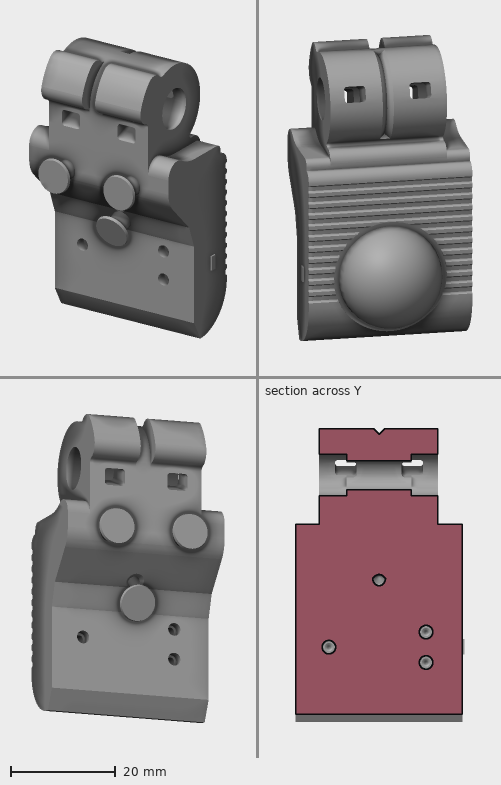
import cadquery as cq
import math


PLATE_WIDTH = 31.9
FRONT_Y = -19.65
LOWER_FRONT_Y = -10.8
TIP_Y = -8.6
TIP_BEVEL_TOP_Z = 3.95
SCREW_FACE_BOTTOM = (LOWER_FRONT_Y, 19.8)
SCREW_FACE_TOP = (-12.5, 24.3)
SLOPE_ANGLE = 45.0
BELLY_RADIUS = 5.2
BUMP_RADIUS = 3.0
BUMP_CENTRE_Z = 36.5
SHOULDER_Z = 37.85
SHOULDER_FRONT_Y = -10.65
REAR_Y = -1.65
REAR_CORNER_RADIUS = 1.35
CREST_Y = 0.5
CREST_TOP_Z = 33.7
CREST_BOTTOM_Z = 9.7
HEEL_MID = (-1.9, 3.05)

GROOVE_COUNT = 11
GROOVE_PITCH = 2.2
TOP_GROOVE_Z = 32.7
GROOVE_MOUTH = 1.45
GROOVE_FLOOR = 0.8

DOME_DIAMETER = 20.0
SEAT_DIAMETER = 22.0
DOME_Z = 14.25
SEAT_PAD_DEPTH = 4.5

HINGE_LEFT_X = -11.45
HINGE_RIGHT_X = 11.25
BARREL_RADIUS = (REAR_Y - FRONT_Y) / 2
BARREL_CENTRE = ((FRONT_Y + REAR_Y) / 2, 47.15)
HINGE_ROOT_Z = 33.8
LEDGE_Z = 39.2
LEDGE_CORNER_RADIUS = 2.25
NOOK_RADIUS = 0.45
LOBE_RADIUS = 12.05
LOBE_TOP_RADIUS = 2.6
LOBE_TOP_ANGLE = 135.9
LOBE_BOTTOM_ANGLE = 163.5
LOBE_BOTTOM_RADIUS = 2.65
LOBE_ROOT_RADIUS = 0.85
VALLEY_RADIUS = 1.1
LOBE_SLOT_LEFT_X = -2.1
LOBE_SLOT_RIGHT_X = 0.9

BORE_DIAMETER = 6.0
COUNTERBORE_DIAMETER = 8.2
LEDGE_HALF_SPAN = 6.2

VEE_HALF_WIDTH = 1.05
VEE_SWEEP = 140.0
CHANNEL_WIDTH = 4.1
CHANNEL_HEIGHT = 3.1
CHANNEL_X = 6.35
CHANNEL_MOUTH_Z = 44.0
CHANNEL_RISE = 20.0
CHANNEL_CORNER_RADIUS = 0.6

SHANK_DIAMETER = 4.0
HEAD_DIAMETER = 7.1
HEAD_CONE_LENGTH = 1.35
HEAD_RIM_LENGTH = 0.55
FACE_DIAMETER = 6.75
UPPER_SHANK_LENGTH = 2.65
LOWER_SHANK_LENGTH = 2.05
UPPER_SCREW_X = 7.45
UPPER_SCREW_Z = 33.5

SMALL_HOLES = [(8.95, 17.2), (8.95, 11.4), (-9.6, 14.3)]
SMALL_COUNTERBORE = (2.5, 2.25)
SMALL_BORE = (1.6, 4.5)
SLOPE_HOLE_Z = 25.0
SLOPE_HOLE_LIFT = -33.0
SLOPE_SINK_DEPTH = 0.5
SLOPE_SINK_REACH = 0.85
SLOPE_BORE = (2.35, 4.5)
DRILL_TIP_ANGLE = 118.0

MARK_HEIGHT = 0.35
MARK_SIZE = (1.3, 2.95)
MARK_CENTRE = (-4.5, 14.35)

OVERCUT = 5.65


def polar(centre, radius, degrees):
    """Point at an angle on a circle in the YZ plane."""
    angle = math.radians(degrees)
    return (centre[0] + radius * math.cos(angle), centre[1] + radius * math.sin(angle))


def toward(centre, target, radius):
    """Point on a circle in the direction of a target point."""
    angle = math.atan2(target[1] - centre[1], target[0] - centre[0])
    return polar(centre, radius, math.degrees(angle))


def arc_middle(centre, start, end):
    """Middle of the shorter arc from start to end about a centre."""
    chord_middle = ((start[0] + end[0]) / 2, (start[1] + end[1]) / 2)
    return toward(centre, chord_middle, math.dist(centre, start))


def circle_crossing(centre_a, radius_a, centre_b, radius_b):
    """Crossing of two circles that lies to the left of the direction from a to b."""
    gap = math.dist(centre_a, centre_b)
    along = (gap**2 + radius_a**2 - radius_b**2) / (2 * gap)
    across = math.sqrt(radius_a**2 - along**2)
    uy = (centre_b[0] - centre_a[0]) / gap
    uz = (centre_b[1] - centre_a[1]) / gap
    return (centre_a[0] + along * uy - across * uz, centre_a[1] + along * uz + across * uy)


def extrude_yz(outline, left_x, right_x):
    """Extrude an outline drawn in (y, z) between two X positions."""
    return outline.close().extrude(right_x - left_x).translate((left_x, 0, 0))


def make_plate():
    corner_z = SCREW_FACE_TOP[1] + (SCREW_FACE_TOP[0] - FRONT_Y) * math.tan(math.radians(SLOPE_ANGLE))
    belly_setback = BELLY_RADIUS * math.tan(math.radians(SLOPE_ANGLE / 2))
    belly_centre = (FRONT_Y + BELLY_RADIUS, corner_z + belly_setback)
    belly_start = polar(belly_centre, BELLY_RADIUS, 180 + SLOPE_ANGLE)
    belly_end = (FRONT_Y, belly_centre[1])

    bump_centre = (FRONT_Y + BUMP_RADIUS, BUMP_CENTRE_Z)
    bump_start = (FRONT_Y, BUMP_CENTRE_Z)
    run = SHOULDER_FRONT_Y - bump_centre[0]
    rise = SHOULDER_Z - BUMP_CENTRE_Z
    flow_radius = (run**2 + rise**2 - BUMP_RADIUS**2) / (2 * (BUMP_RADIUS - rise))
    flow_centre = (SHOULDER_FRONT_Y, SHOULDER_Z + flow_radius)
    bump_end = toward(bump_centre, flow_centre, BUMP_RADIUS)
    flow_end = (SHOULDER_FRONT_Y, SHOULDER_Z)

    corner_centre = (REAR_Y - REAR_CORNER_RADIUS, SHOULDER_Z - REAR_CORNER_RADIUS)
    step_radius = CREST_Y - REAR_Y
    step_centre = (REAR_Y, CREST_TOP_Z)

    outline = (
        cq.Workplane("YZ")
        .moveTo(TIP_Y, 0)
        .lineTo(LOWER_FRONT_Y, TIP_BEVEL_TOP_Z)
        .lineTo(*SCREW_FACE_BOTTOM)
        .lineTo(*SCREW_FACE_TOP)
        .lineTo(*belly_start)
        .threePointArc(polar(belly_centre, BELLY_RADIUS, 180 + SLOPE_ANGLE / 2), belly_end)
        .lineTo(*bump_start)
        .threePointArc(arc_middle(bump_centre, bump_start, bump_end), bump_end)
        .threePointArc(arc_middle(flow_centre, bump_end, flow_end), flow_end)
        .lineTo(corner_centre[0], SHOULDER_Z)
        .threePointArc(polar(corner_centre, REAR_CORNER_RADIUS, 45), (REAR_Y, corner_centre[1]))
        .lineTo(REAR_Y, CREST_TOP_Z + step_radius)
        .threePointArc(polar(step_centre, step_radius, 45), (CREST_Y, CREST_TOP_Z))
        .lineTo(CREST_Y, CREST_BOTTOM_Z)
        .threePointArc(HEEL_MID, (TIP_Y, 0))
    )
    return extrude_yz(outline, -PLATE_WIDTH / 2, PLATE_WIDTH / 2)


def cut_grip_grooves(body):
    for index in range(GROOVE_COUNT):
        z = TOP_GROOVE_Z - index * GROOVE_PITCH
        outline = cq.Workplane("YZ").polyline([
            (CREST_Y, z + GROOVE_MOUTH / 2),
            (0, z + GROOVE_FLOOR / 2),
            (0, z - GROOVE_FLOOR / 2),
            (CREST_Y, z - GROOVE_MOUTH / 2),
        ])
        body = body.cut(extrude_yz(outline, -PLATE_WIDTH / 2, PLATE_WIDTH / 2))
    return body


def disc_on_seat(diameter, length):
    """Disc about the dome axis, reaching from Y = 0 toward +Y, or toward -Y if length is negative."""
    return cq.Workplane("XZ").center(0, DOME_Z).circle(diameter / 2).extrude(-length)


def make_dome_seat(body):
    """Clear the teeth inside the seat and fill up to its flat face below."""
    cleared = body.cut(disc_on_seat(SEAT_DIAMETER, OVERCUT))
    return cleared.union(disc_on_seat(SEAT_DIAMETER, -SEAT_PAD_DEPTH))


def make_hinge_block():
    """Barrel standing on a block that is sunk into the plate."""
    nook_z = LEDGE_Z + NOOK_RADIUS
    nook_reach = BARREL_RADIUS + NOOK_RADIUS
    nook_y = BARREL_CENTRE[0] + math.sqrt(nook_reach**2 - (BARREL_CENTRE[1] - nook_z) ** 2)
    nook_centre = (nook_y, nook_z)
    barrel_end = toward(BARREL_CENTRE, nook_centre, BARREL_RADIUS)
    nook_end = (nook_y, LEDGE_Z)
    corner_centre = (REAR_Y - LEDGE_CORNER_RADIUS, LEDGE_Z - LEDGE_CORNER_RADIUS)
    outline = (
        cq.Workplane("YZ")
        .moveTo(FRONT_Y, HINGE_ROOT_Z)
        .lineTo(FRONT_Y, BARREL_CENTRE[1])
        .threePointArc(polar(BARREL_CENTRE, BARREL_RADIUS, 45), barrel_end)
        .threePointArc(arc_middle(nook_centre, barrel_end, nook_end), nook_end)
        .lineTo(corner_centre[0], LEDGE_Z)
        .threePointArc(polar(corner_centre, LEDGE_CORNER_RADIUS, 45), (REAR_Y, corner_centre[1]))
        .lineTo(REAR_Y, HINGE_ROOT_Z)
    )
    return extrude_yz(outline, HINGE_LEFT_X, HINGE_RIGHT_X)


def make_lobe(left_x, right_x):
    """Stop lobe on the front of the barrel, blended into it by concave arcs."""
    top_centre = polar(BARREL_CENTRE, LOBE_RADIUS - LOBE_TOP_RADIUS, LOBE_TOP_ANGLE)
    top_end = polar(BARREL_CENTRE, LOBE_RADIUS, LOBE_TOP_ANGLE)
    valley_centre = circle_crossing(
        top_centre, LOBE_TOP_RADIUS + VALLEY_RADIUS, BARREL_CENTRE, BARREL_RADIUS + VALLEY_RADIUS
    )
    valley_start = toward(BARREL_CENTRE, valley_centre, BARREL_RADIUS)
    top_start = toward(top_centre, valley_centre, LOBE_TOP_RADIUS)

    bottom_centre = polar(BARREL_CENTRE, LOBE_RADIUS - LOBE_BOTTOM_RADIUS, LOBE_BOTTOM_ANGLE)
    bottom_start = polar(BARREL_CENTRE, LOBE_RADIUS, LOBE_BOTTOM_ANGLE)
    root_y = FRONT_Y - LOBE_ROOT_RADIUS
    root_reach = LOBE_BOTTOM_RADIUS + LOBE_ROOT_RADIUS
    root_z = bottom_centre[1] - math.sqrt(root_reach**2 - (bottom_centre[0] - root_y) ** 2)
    root_centre = (root_y, root_z)
    bottom_end = toward(bottom_centre, root_centre, LOBE_BOTTOM_RADIUS)
    root_end = (FRONT_Y, root_z)

    outline = (
        cq.Workplane("YZ")
        .moveTo(*BARREL_CENTRE)
        .lineTo(*valley_start)
        .threePointArc(arc_middle(valley_centre, valley_start, top_start), top_start)
        .threePointArc(arc_middle(top_centre, top_start, top_end), top_end)
        .threePointArc(arc_middle(BARREL_CENTRE, top_end, bottom_start), bottom_start)
        .threePointArc(arc_middle(bottom_centre, bottom_start, bottom_end), bottom_end)
        .threePointArc(arc_middle(root_centre, bottom_end, root_end), root_end)
    )
    return extrude_yz(outline, left_x, right_x)


def barrel_cylinder(diameter, left_x, right_x):
    circle = cq.Workplane("YZ").center(*BARREL_CENTRE).circle(diameter / 2)
    return circle.extrude(right_x - left_x).translate((left_x, 0, 0))


def cut_hinge_bore(body):
    """Bore with a wide counterbore at each end."""
    body = body.cut(barrel_cylinder(BORE_DIAMETER, HINGE_LEFT_X, HINGE_RIGHT_X))
    body = body.cut(barrel_cylinder(COUNTERBORE_DIAMETER, HINGE_LEFT_X, -LEDGE_HALF_SPAN))
    return body.cut(barrel_cylinder(COUNTERBORE_DIAMETER, LEDGE_HALF_SPAN, HINGE_RIGHT_X))


def cut_barrel_vee(body):
    """V groove around the barrel, from its top over the rear."""
    axis_y, axis_z = BARREL_CENTRE
    vee = (
        cq.Workplane("XZ", origin=(0, axis_y, 0))
        .polyline([
            (-2 * VEE_HALF_WIDTH, axis_z + BARREL_RADIUS + VEE_HALF_WIDTH),
            (0, axis_z + BARREL_RADIUS - VEE_HALF_WIDTH),
            (2 * VEE_HALF_WIDTH, axis_z + BARREL_RADIUS + VEE_HALF_WIDTH),
        ])
        .close()
        .revolve(VEE_SWEEP, (0.55, axis_z, 0), (0, axis_z, 0))
    )
    return body.cut(vee)


def outward_plane(x, point, lift):
    """Workplane whose normal points to the front, lifted above horizontal by an angle in degrees."""
    normal = (0, -math.cos(math.radians(lift)), math.sin(math.radians(lift)))
    return cq.Workplane(cq.Plane(origin=(x, *point), xDir=(1, 0, 0), normal=normal))


def cut_channel(body, x):
    """Rounded rectangular channel from the front face through the bore to the rear of the barrel."""
    rise = math.radians(CHANNEL_RISE)
    start = (FRONT_Y - OVERCUT * math.cos(rise), CHANNEL_MOUTH_Z - OVERCUT * math.sin(rise))
    channel = (
        outward_plane(x, start, -CHANNEL_RISE)
        .sketch()
        .rect(CHANNEL_WIDTH, CHANNEL_HEIGHT)
        .vertices()
        .fillet(CHANNEL_CORNER_RADIUS)
        .finalize()
        .extrude(FRONT_Y - REAR_Y - 2 * OVERCUT)
    )
    return body.cut(channel)


def turned_about_normal(profile, x, point, lift):
    """Revolve a (radius, height) profile about the outward direction at a point."""
    return (
        cq.Workplane("XY")
        .polyline(profile)
        .close()
        .revolve(360, (0, 0, 0), (0, 1, 0))
        .rotate((0, 0, 0), (1, 0, 0), 180 - lift)
        .translate((x, *point))
    )


def make_screw(x, point, lift, shank_length):
    """Countersunk-head screw standing proud of the face; its shank starts one radius below the face."""
    shank_radius = SHANK_DIAMETER / 2
    rim_start = shank_length + HEAD_CONE_LENGTH
    face = rim_start + HEAD_RIM_LENGTH
    profile = [
        (0, -shank_radius),
        (shank_radius, -shank_radius),
        (shank_radius, shank_length),
        (HEAD_DIAMETER / 2, rim_start),
        (FACE_DIAMETER / 2, face),
        (0, face),
    ]
    return turned_about_normal(profile, x, point, lift)


def drill_bottom(bore):
    """Lower end of a blind hole's profile, with its drill point."""
    radius, depth = bore[0] / 2, bore[1]
    tip_length = radius / math.tan(math.radians(DRILL_TIP_ANGLE / 2))
    return [(radius, -depth), (0, -depth - tip_length)]


def make_small_hole(x, z):
    """Cutter for a counterbored blind hole in the lower front face."""
    sink_radius, sink_depth = SMALL_COUNTERBORE[0] / 2, SMALL_COUNTERBORE[1]
    profile = [(0, 0), (sink_radius, 0), (sink_radius, -sink_depth), (SMALL_BORE[0] / 2, -sink_depth)]
    return turned_about_normal(profile + drill_bottom(SMALL_BORE), x, (LOWER_FRONT_Y, z), 0)


def make_slope_hole():
    """Cutter for the countersunk blind hole in the sloped face."""
    rise = SLOPE_HOLE_Z - SCREW_FACE_TOP[1]
    point = (SCREW_FACE_TOP[0] - rise / math.tan(math.radians(SLOPE_ANGLE)), SLOPE_HOLE_Z)
    radius = SLOPE_BORE[0] / 2
    profile = [
        (0, SLOPE_SINK_REACH),
        (radius + SLOPE_SINK_DEPTH + SLOPE_SINK_REACH, SLOPE_SINK_REACH),
        (radius, -SLOPE_SINK_DEPTH),
    ]
    return turned_about_normal(profile + drill_bottom(SLOPE_BORE), 0, point, SLOPE_HOLE_LIFT)


def make_clamp():
    body = make_dome_seat(cut_grip_grooves(make_plate()))
    body = body.union(make_hinge_block())
    body = body.union(make_lobe(HINGE_LEFT_X, LOBE_SLOT_LEFT_X))
    body = body.union(make_lobe(LOBE_SLOT_RIGHT_X, HINGE_RIGHT_X))
    body = cut_barrel_vee(cut_hinge_bore(body))
    for x in (-CHANNEL_X, CHANNEL_X):
        body = cut_channel(body, x)

    for x, z in SMALL_HOLES:
        body = body.cut(make_small_hole(x, z))
    body = body.cut(make_slope_hole())

    for x in (-UPPER_SCREW_X, UPPER_SCREW_X):
        body = body.union(make_screw(x, (FRONT_Y, UPPER_SCREW_Z), 0, UPPER_SHANK_LENGTH))
    face_run = SCREW_FACE_BOTTOM[0] - SCREW_FACE_TOP[0]
    face_rise = SCREW_FACE_TOP[1] - SCREW_FACE_BOTTOM[1]
    face_middle = (SCREW_FACE_TOP[0] + face_run / 2, SCREW_FACE_BOTTOM[1] + face_rise / 2)
    face_lift = -math.degrees(math.atan2(face_run, face_rise))
    body = body.union(make_screw(0, face_middle, face_lift, LOWER_SHANK_LENGTH))

    mark = (
        cq.Workplane("YZ", origin=(PLATE_WIDTH / 2, *MARK_CENTRE))
        .rect(*MARK_SIZE)
        .extrude(MARK_HEIGHT)
    )
    return body.union(mark)


def make_dome():
    """Half ball lying with its flat side on the seat."""
    ball = cq.Workplane("XY").sphere(DOME_DIAMETER / 2).translate((0, 0, DOME_Z))
    return ball.intersect(disc_on_seat(SEAT_DIAMETER, DOME_DIAMETER))


clamp = make_clamp()
dome = make_dome()
result = cq.Compound.makeCompound([clamp.val(), dome.val()])